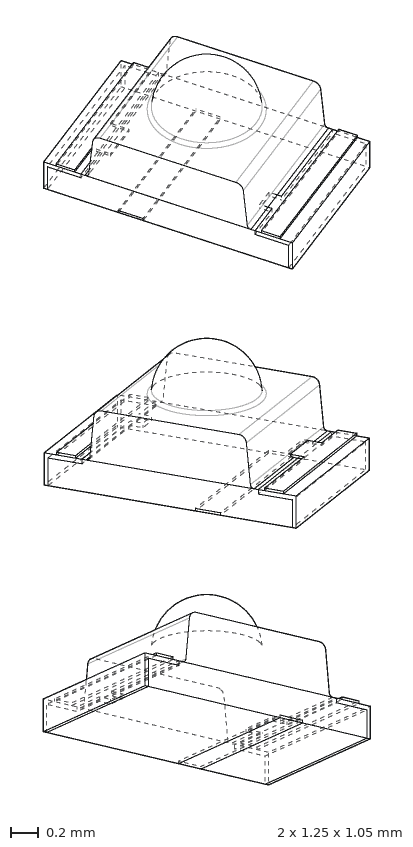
import cadquery as cq
import math

length = 2.0
width = 1.25
substrate_top = 0.25

terminal_side_thickness = 0.03
terminal_top_thickness = 0.035
terminal_reach = 0.3
terminal_inner_x = length / 2 - terminal_reach

mask_thickness = 0.02
mask_outer_x = 0.9
mask_inner_x = 0.75

mold_height = 0.4
mold_top = substrate_top + mold_height
mold_top_half = 0.6
mold_foot_half = 0.64
mold_top_fillet = 0.06
mold_foot_fillet = 0.03
lens_radius = 0.4
lens_fillet = 0.03

tongue_end_x = mold_top_half
tongue_front_y = -0.35
mask_tongue_back_y = -0.05
terminal_tongue_back_y = -0.2

mark_left_x = -0.4
mark_right_x = -0.2
mark_thickness = 0.02


def block(x_range, y_range, z_range):
    """Box spanning the given ranges, each with its smaller end first."""
    (x0, x1), (y0, y1), (z0, z1) = x_range, y_range, z_range
    return cq.Workplane("XY").box(x1 - x0, y1 - y0, z1 - z0, centered=False).translate((x0, y0, z0))


full_width = (-width / 2, width / 2)
terminal_layer = (substrate_top - terminal_top_thickness, substrate_top)
mask_layer = (substrate_top, substrate_top + mask_thickness)


def make_terminal():
    """L-shaped terminal on the +X end."""
    top_plate = block((terminal_inner_x, length / 2), full_width, terminal_layer)
    end_plate = block((length / 2 - terminal_side_thickness, length / 2), full_width, (0, substrate_top))
    return top_plate.union(end_plate)


def make_left_terminal():
    return make_terminal().mirror("YZ")


def make_right_terminal():
    """Right terminal with a narrow tongue reaching under the moulding."""
    tongue = block((tongue_end_x, terminal_inner_x), (tongue_front_y, terminal_tongue_back_y), terminal_layer)
    return make_terminal().union(tongue)


def make_left_mask():
    """Left mask strip with a tongue reaching under the moulding."""
    strip = block((-mask_outer_x, -mask_inner_x), full_width, mask_layer)
    tongue = block((-mask_inner_x, -tongue_end_x), (tongue_front_y, mask_tongue_back_y), mask_layer)
    return strip.union(tongue)


def make_right_mask():
    return block((mask_inner_x, mask_outer_x), full_width, mask_layer)


def make_polarity_mark():
    return block((mark_left_x, mark_right_x), full_width, (0, mark_thickness))


def make_substrate(inset_bodies):
    """Board with recesses for the terminals and the polarity mark."""
    substrate = block((-length / 2, length / 2), full_width, (0, substrate_top))
    for body in inset_bodies:
        substrate = substrate.cut(body)
    return substrate


def make_foot_flare():
    """Concave fillet strip along the foot of the +X sloping side."""
    slope = math.atan2(mold_foot_half - mold_top_half, mold_height)
    tangent_length = mold_foot_fillet * math.tan((math.pi / 2 - slope) / 2)
    centre_x = mold_foot_half + tangent_length
    centre_z = substrate_top + mold_foot_fillet
    wall_point = (
        mold_foot_half - tangent_length * math.sin(slope),
        substrate_top + tangent_length * math.cos(slope),
    )
    middle_angle = (math.pi / 2 + slope) / 2
    arc_middle = (
        centre_x - mold_foot_fillet * math.cos(middle_angle),
        centre_z - mold_foot_fillet * math.sin(middle_angle),
    )
    return (
        cq.Workplane("XZ")
        .moveTo(mold_top_half, substrate_top)
        .lineTo(centre_x, substrate_top)
        .threePointArc(arc_middle, wall_point)
        .lineTo(mold_top_half, wall_point[1])
        .close()
        .extrude(width / 2, both=True)
    )


def make_lens():
    """Hemisphere on the moulding with a concave fillet round its base."""
    fillet_centre_z = mold_top + lens_fillet
    fillet_centre_r = math.sqrt((lens_radius + lens_fillet) ** 2 - lens_fillet**2)
    touch_ratio = lens_radius / (lens_radius + lens_fillet)
    touch_r = fillet_centre_r * touch_ratio
    touch_height = lens_fillet * touch_ratio
    fillet_angle = math.atan2(lens_fillet, fillet_centre_r)
    fillet_middle_angle = (fillet_angle + math.pi / 2) / 2
    fillet_middle = (
        fillet_centre_r - lens_fillet * math.cos(fillet_middle_angle),
        fillet_centre_z - lens_fillet * math.sin(fillet_middle_angle),
    )
    dome_middle = (
        lens_radius * math.cos(math.pi / 4),
        mold_top + lens_radius * math.sin(math.pi / 4),
    )
    root_z = mold_top - mold_height / 2
    return (
        cq.Workplane("XZ")
        .moveTo(0, root_z)
        .lineTo(fillet_centre_r, root_z)
        .lineTo(fillet_centre_r, mold_top)
        .threePointArc(fillet_middle, (touch_r, mold_top + touch_height))
        .threePointArc(dome_middle, (0, mold_top + lens_radius))
        .close()
        .revolve(360, (0, 0, 0), (0, 1, 0))
    )


def make_mold(mask):
    """Moulding and lens in one piece, notched over the mask tongue."""
    mold = (
        cq.Workplane("XZ")
        .polyline([
            (-mold_foot_half, substrate_top),
            (mold_foot_half, substrate_top),
            (mold_top_half, mold_top),
            (-mold_top_half, mold_top),
        ])
        .close()
        .extrude(width / 2, both=True)
        .faces(">Z").edges("|Y").fillet(mold_top_fillet)
    )
    flare = make_foot_flare()
    return mold.union(flare).union(flare.mirror("YZ")).union(make_lens()).cut(mask)


left_terminal = make_left_terminal()
right_terminal = make_right_terminal()
left_mask = make_left_mask()
right_mask = make_right_mask()
polarity_mark = make_polarity_mark()
substrate = make_substrate([left_terminal, right_terminal, polarity_mark])
mold = make_mold(left_mask)

result = cq.Compound.makeCompound([
    substrate.val(),
    left_terminal.val(),
    right_terminal.val(),
    left_mask.val(),
    right_mask.val(),
    polarity_mark.val(),
    mold.val(),
])